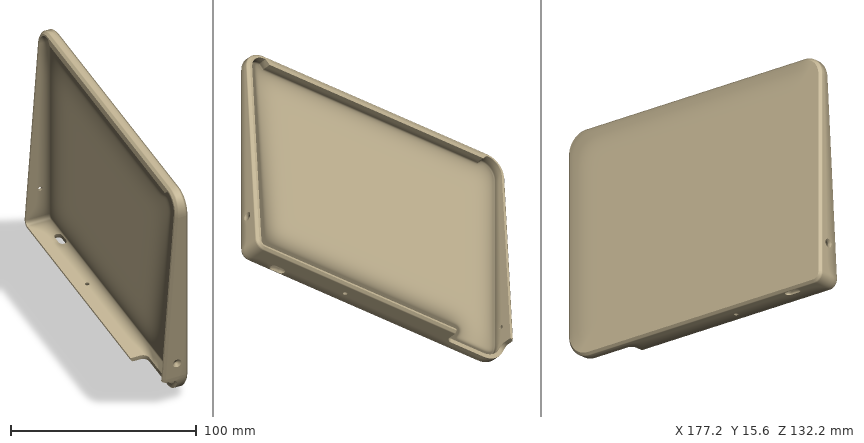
import cadquery as cq
LENGTH = 177.2
HEIGHT = 132.2
DEPTH = 15.6
TOP_DEPTH = 6.5

TOP_RADIUS = 11.9
BOTTOM_LEFT_RADIUS = 5.3
BOTTOM_RIGHT_RADIUS = 14.5

SIDE_WALL = 2.8
END_WALL = 2.5
FLOOR = 1.0
FLOOR_FILLET = 0.7
EDGE_CHAMFER = 1.5
EDGE_ROUNDING = 0.9

LEDGE_LEFT = 15.2
LEDGE_REACH = 5.1

CUT_LEFT = 136.8
CUT_TOP = 12.2
CUT_WALL_DEPTH = 6.2
CUT_FILLET = 3.5

HOLE_DIAMETER = 2.5
SINK_DIAMETER = 5.0
SINK_LENGTH = (SINK_DIAMETER - HOLE_DIAMETER) / 2
SIDE_HOLE_DEPTH = 6.7
SIDE_HOLE_HEIGHT = 23.4
BOTTOM_HOLE_X = 66.0
BOTTOM_HOLE_DEPTH = 8.3
SLOT_X = 22.9
SLOT_DEPTH = 4.0
SLOT_LENGTH = 9.5
SLOT_WIDTH = 4.5


def rounded_block(inset_x, inset_z, back_y):
    """Block ending at back_y, inset from the tray outline and reaching well past the open front."""
    size_x = LENGTH - 2 * inset_x
    size_z = HEIGHT - 2 * inset_z
    block = cq.Workplane("XY").box(size_x, back_y + DEPTH, size_z, centered=False)
    block = block.translate((inset_x, -DEPTH, inset_z))
    inset = max(inset_x, inset_z)
    block = block.edges("|Y and >Z").fillet(TOP_RADIUS - inset)
    block = block.edges("|Y and <X and <Z").fillet(BOTTOM_LEFT_RADIUS - inset)
    return block.edges("|Y and >X and <Z").fillet(BOTTOM_RIGHT_RADIUS - inset)


def behind_slope():
    """Wedge behind the sloping front, which reaches Y = 0 just above the bottom edge chamfer."""
    slope = (DEPTH - TOP_DEPTH) / (HEIGHT - EDGE_CHAMFER)
    side_outline = [
        (-slope * EDGE_CHAMFER, 0),
        (DEPTH - TOP_DEPTH, HEIGHT),
        (DEPTH, HEIGHT),
        (DEPTH, 0),
    ]
    return cq.Workplane("YZ").polyline(side_outline).close().extrude(LENGTH)


def outer_body():
    """Solid tray body with chamfered front and back rims that blend softly into the sides."""
    body = rounded_block(0, 0, DEPTH).intersect(behind_slope())
    body = body.faces("<Y or >Y").chamfer(EDGE_CHAMFER)
    body = body.faces("<X").edges("<Y").fillet(EDGE_ROUNDING)
    return body.faces("<X").edges(">Y").fillet(EDGE_ROUNDING)


def ledge_block():
    """Material left standing along the top wall, its ends bevelled at 45 degrees."""
    bottom = HEIGHT - LEDGE_REACH
    right = LENGTH - LEDGE_LEFT
    outline = [
        (LEDGE_LEFT, bottom),
        (right, bottom),
        (right + LEDGE_REACH, HEIGHT),
        (LEDGE_LEFT - LEDGE_REACH, HEIGHT),
    ]
    return cq.Workplane("XZ").polyline(outline).close().extrude(-DEPTH)


def cavity():
    """Inside of the tray, rounded where the walls meet the floor."""
    space = rounded_block(SIDE_WALL, END_WALL, DEPTH - FLOOR).cut(ledge_block())
    return space.faces(">Y").edges().fillet(FLOOR_FILLET)


def corner_cut():
    """Space that lowers the walls around the lower right corner, reaching past the open front."""
    cut_depth = 2 * DEPTH - CUT_WALL_DEPTH
    box = cq.Workplane("XY").box(LENGTH - CUT_LEFT, cut_depth, CUT_TOP, centered=False)
    box = box.translate((CUT_LEFT, -DEPTH, 0))
    return box.edges(">Y and (<X or >Z)").fillet(CUT_FILLET)


def side_hole(x, inward):
    """Countersunk screw hole through the side wall at x; inward is the direction along X."""
    start = cq.Workplane("YZ", origin=(x, DEPTH - SIDE_HOLE_DEPTH, SIDE_HOLE_HEIGHT))
    hole = start.circle(HOLE_DIAMETER / 2).extrude(inward * 2 * SIDE_WALL)
    sink = start.circle(SINK_DIAMETER / 2)
    sink = sink.workplane(offset=inward * SINK_LENGTH).circle(HOLE_DIAMETER / 2).loft()
    return hole.union(sink)


def bottom_openings():
    """Screw hole and cable slot through the bottom wall."""
    cut_height = 2 * END_WALL
    hole = cq.Workplane("XY").center(BOTTOM_HOLE_X, DEPTH - BOTTOM_HOLE_DEPTH)
    slot = cq.Workplane("XY").center(SLOT_X, DEPTH - SLOT_DEPTH)
    hole = hole.circle(HOLE_DIAMETER / 2).extrude(cut_height)
    return hole.union(slot.slot2D(SLOT_LENGTH, SLOT_WIDTH).extrude(cut_height))


result = outer_body().cut(cavity()).cut(corner_cut())
for wall_x, inward_direction in ((0, 1), (LENGTH, -1)):
    result = result.cut(side_hole(wall_x, inward_direction))
result = result.cut(bottom_openings())